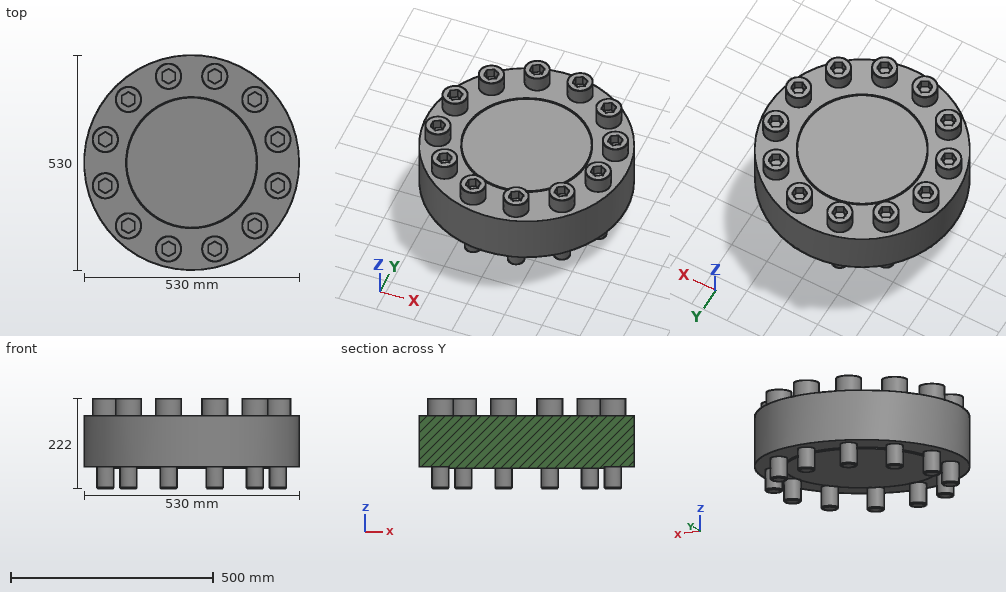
import cadquery as cq

flange_diameter = 530.0
flange_thickness = 126.0
raised_face_diameter = 384.0
raised_face_height = 4.0

groove_outer_diameter = 323.9
groove_width = 2.0
groove_depth = 2.0

bolt_count = 12
bolt_circle_diameter = 440.0
shank_diameter = 42.0
shank_projection = 54.0
shank_chamfer = 3.0
head_diameter = 1.5 * shank_diameter
head_height = shank_diameter
head_chamfer = 1.0
socket_across_flats = 32.0
socket_depth = 25.0

bolt_pitch_angle = 360.0 / bolt_count


def cylinder(diameter, bottom, height):
    return cq.Workplane("XY").workplane(offset=bottom).circle(diameter / 2).extrude(height)


def make_flange():
    disc = cylinder(flange_diameter, 0, flange_thickness)
    raised_face = cylinder(raised_face_diameter, -raised_face_height, raised_face_height)
    return disc.union(raised_face)


def make_groove():
    outer_radius = groove_outer_diameter / 2
    return (
        cq.Workplane("XY")
        .workplane(offset=flange_thickness - groove_depth)
        .circle(outer_radius)
        .circle(outer_radius - groove_width)
        .extrude(groove_depth)
    )


def make_bolt():
    """Bolt on the Z axis, its head seated on the upper face of the flange."""
    head_top = flange_thickness + head_height
    shank = cylinder(shank_diameter, -shank_projection, shank_projection + flange_thickness)
    shank = shank.faces("<Z").chamfer(shank_chamfer)
    head = cylinder(head_diameter, flange_thickness, head_height)
    head = head.faces(">Z").chamfer(head_chamfer)
    socket = (
        cq.Workplane("XY")
        .workplane(offset=head_top - socket_depth)
        .polygon(6, socket_across_flats, circumscribed=True)
        .extrude(socket_depth)
    )
    return shank.union(head).cut(socket)


def bolt_centers():
    return (
        cq.Workplane("XY")
        .polarArray(bolt_circle_diameter / 2, bolt_pitch_angle / 2, 360, bolt_count, rotate=False)
        .vals()
    )


result = make_flange().cut(make_groove())
bolt = make_bolt()
for center in bolt_centers():
    result = result.union(bolt.translate(center.toTuple()[0]))